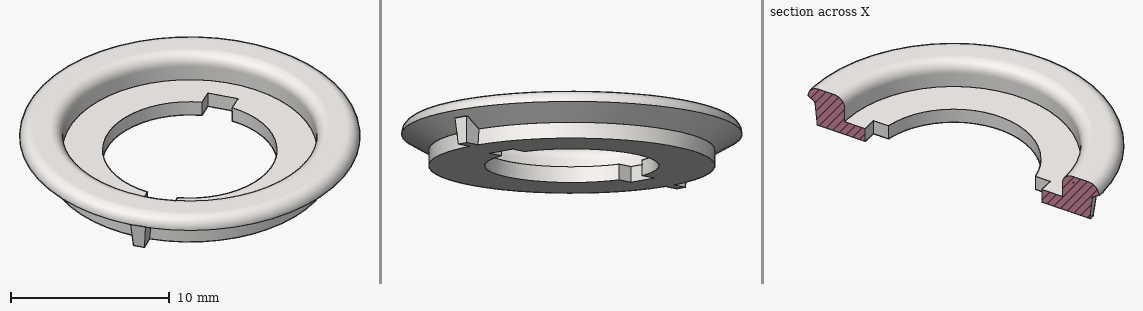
import cadquery as cq

height = 2.8
rim_radius = 10.72
edge_round = 0.8
base_radius = 9.0
base_height = 1.0
recess_radius = 8.0
floor_thickness = 1.0

bore_radius = 5.49
keyway_width = 2.0
keyway_tip_to_tip = 12.99

lug_height = 1.67
lug_bottom_width = 0.73
lug_top_width = 0.99
lug_bottom_reach = 10.03
lug_top_reach = 10.2


def make_ring():
    """Revolve the dished ring, with both top edges rounded, about Z."""
    round_start = height - edge_round
    diagonal = edge_round * 0.5 ** 0.5
    outer_center = rim_radius - edge_round
    inner_center = recess_radius + edge_round
    profile = (
        cq.Workplane("XZ")
        .moveTo(bore_radius, 0)
        .lineTo(base_radius, 0)
        .lineTo(base_radius, base_height)
        .lineTo(rim_radius, round_start)
        .threePointArc((outer_center + diagonal, round_start + diagonal), (outer_center, height))
        .lineTo(inner_center, height)
        .threePointArc((inner_center - diagonal, round_start + diagonal), (recess_radius, round_start))
        .lineTo(recess_radius, floor_thickness)
        .lineTo(bore_radius, floor_thickness)
        .close()
    )
    return profile.revolve(360, (0, 0, 0), (0, 1, 0))


def make_lug():
    """Lug on the -Y side, widening and reaching further out towards its top."""
    root = (recess_radius + base_radius) / 2
    front_face = [
        (-lug_bottom_width / 2, 0),
        (lug_bottom_width / 2, 0),
        (lug_top_width / 2, lug_height),
        (-lug_top_width / 2, lug_height),
    ]
    side_face = [
        (-root, 0),
        (-lug_bottom_reach, 0),
        (-lug_top_reach, lug_height),
        (-root, lug_height),
    ]
    width_taper = cq.Workplane("XZ").polyline(front_face).close().extrude(rim_radius)
    reach_taper = cq.Workplane("YZ").polyline(side_face).close().extrude(lug_top_width / 2, both=True)
    return width_taper.intersect(reach_taper)


keyways = cq.Workplane("XY").rect(keyway_width, keyway_tip_to_tip).extrude(floor_thickness)

result = make_ring().cut(keyways)
for angle in (0, 180):
    result = result.union(make_lug().rotate((0, 0, 0), (0, 0, 1), angle))